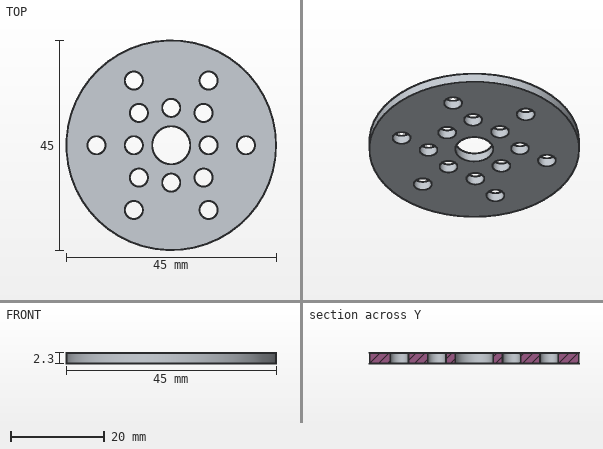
import cadquery as cq

disc_diameter = 45.0
thickness = 2.3

bore_diameter = 8.1
small_hole_diameter = 3.82
outer_ring_radius = 16.0
inner_ring_radius = outer_ring_radius / 2
diagonal_offset = 6.95


def hole_cutter(sketch_points, diameter):
    """Through-thickness cylinders at the points placed on a workplane."""
    return sketch_points.circle(diameter / 2).extrude(thickness)


def ring_cutter(radius, count):
    """Equally spaced small holes, the first one on the +X axis."""
    points = cq.Workplane("XY").polarArray(radius, 0, 360, count)
    return hole_cutter(points, small_hole_diameter)


disc = cq.Workplane("XY").circle(disc_diameter / 2).extrude(thickness)

bore = hole_cutter(cq.Workplane("XY"), bore_diameter)
outer_ring = ring_cutter(outer_ring_radius, 6)
inner_ring = ring_cutter(inner_ring_radius, 4)

diagonal_spacing = 2 * diagonal_offset
diagonal_points = cq.Workplane("XY").rarray(diagonal_spacing, diagonal_spacing, 2, 2)
diagonal_holes = hole_cutter(diagonal_points, small_hole_diameter)

result = disc.cut(bore).cut(outer_ring).cut(inner_ring).cut(diagonal_holes)